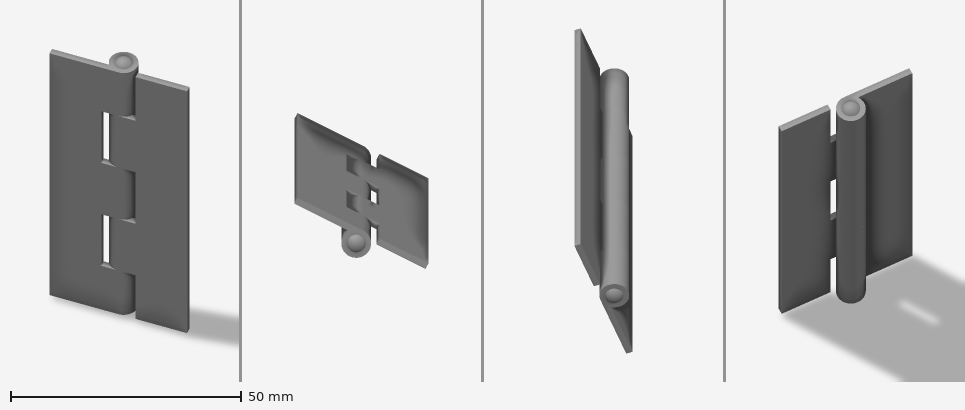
import cadquery as cq
import math

total_height = 77.2
hinge_width = 32.0
leaf_height = 75.0
leaf_thickness = 1.5
barrel_radius = 3.25
pin_radius = 2.0
notch_reach = 4.0
knuckle_height = 16.0
knuckle_count = 5

leaf_front = -barrel_radius
leaf_half_width = hinge_width / 2
inner_knuckles = knuckle_count - 2
end_knuckle_height = (leaf_height - inner_knuckles * knuckle_height) / 2
dome_height = (total_height - leaf_height) / 2


def knuckle_span(index):
    """Bottom and top Z of a knuckle, counted from the bottom of the hinge."""
    bottom = -leaf_height / 2
    if index > 0:
        bottom += end_knuckle_height + (index - 1) * knuckle_height
    top = leaf_height / 2
    if index < knuckle_count - 1:
        top = -leaf_height / 2 + end_knuckle_height + index * knuckle_height
    return bottom, top


def make_plate(side, inner_x, bottom, top):
    """Flat strip from inner_x to the outer leaf edge; side is -1 for -X, 1 for +X."""
    width = leaf_half_width - inner_x
    return (
        cq.Workplane("XY", origin=(side * (inner_x + width / 2), leaf_front + leaf_thickness / 2, bottom))
        .rect(width, leaf_thickness)
        .extrude(top - bottom)
    )


def make_knuckle(side, index):
    """Barrel section joined to the leaf by a tangent strip that starts at the pin axis."""
    bottom, top = knuckle_span(index)
    barrel = cq.Workplane("XY", origin=(0, 0, bottom)).circle(barrel_radius).extrude(top - bottom)
    return barrel.union(make_plate(side, 0, bottom, top))


def make_leaf(side, knuckle_indices):
    leaf = make_plate(side, notch_reach, -leaf_height / 2, leaf_height / 2)
    for index in knuckle_indices:
        leaf = leaf.union(make_knuckle(side, index))
    bore = cq.Workplane("XY", origin=(0, 0, -leaf_height / 2)).circle(pin_radius).extrude(leaf_height)
    return leaf.cut(bore)


def make_pin():
    """Round pin with a spherical dome on each end, revolved about Z."""
    dome_radius = (pin_radius**2 + dome_height**2) / (2 * dome_height)
    dome_center = total_height / 2 - dome_radius
    half_angle = math.asin(pin_radius / dome_radius) / 2
    arc_x = dome_radius * math.sin(half_angle)
    arc_z = dome_center + dome_radius * math.cos(half_angle)
    return (
        cq.Workplane("XZ")
        .moveTo(0, -total_height / 2)
        .threePointArc((arc_x, -arc_z), (pin_radius, -leaf_height / 2))
        .lineTo(pin_radius, leaf_height / 2)
        .threePointArc((arc_x, arc_z), (0, total_height / 2))
        .close()
        .revolve(360, (0, 0, 0), (0, 1, 0))
    )


left_leaf = make_leaf(-1, range(0, knuckle_count, 2))
right_leaf = make_leaf(1, range(1, knuckle_count, 2))
pin = make_pin()

result = cq.Compound.makeCompound([left_leaf.val(), right_leaf.val(), pin.val()])